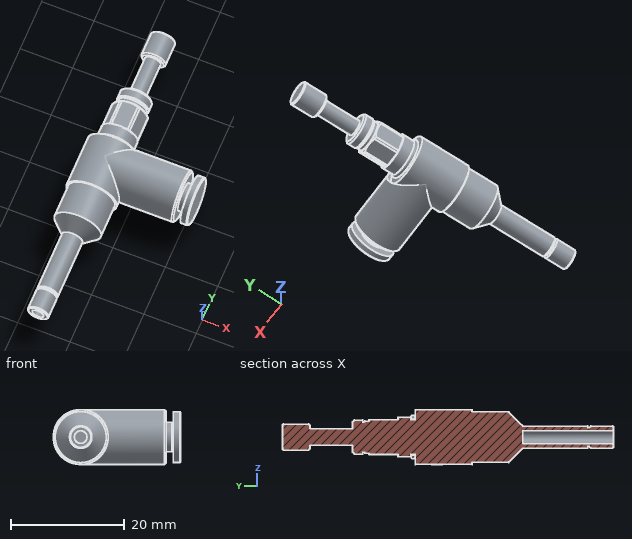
import cadquery as cq
import math

overall_length = 58.5
run_end = 27.5
tail_end = run_end - overall_length

tee_radius = 4.85
tee_top = 4.05
tee_bottom = -6.0
barrel_radius = 4.5
barrel_bottom = -12.45

tail_radius = 2.0
cone_bottom = tail_radius - barrel_radius + barrel_bottom
tail_groove_top = -26.45
tail_groove_width = 0.5
tail_groove_depth = 0.3
tail_end_chamfer = 0.2
tail_bore_radius = 1.1

branch_end = 15.1
branch_chamfer = 0.3
sleeve_radius = 2.65
sleeve_chamfer = 0.25
collar_radius = 4.5
collar_start = 16.3
collar_end = 17.65
collar_chamfer = 0.2

ring_seat_radius = 3.1
shoulder_radius = 3.5
shoulder_bottom = 4.8
hex_bottom = 7.1
hex_top = 12.2
hex_apothem = 3.1
hex_corner_radius = 3.45
hex_chamfer_drop = 0.3
hex_top_radius = 3.05
neck_radius = 2.85
neck_groove_radius = 2.7
cap_bottom = 13.3
neck_groove_width = 0.2
cap_radius = 3.05
cap_top = 15.15
cap_chamfer = 0.35

rod_radius = 1.5
head_radius = 2.35
head_bottom = 22.6
head_bottom_chamfer = 0.3
head_top_chamfer = 0.2

ring_section_radius = (shoulder_bottom - tee_top) / 2
ring_center_radius = 3.5
ring_gap = 0.3


def turned_about_y(points):
    """Solid of revolution from (radius, y) points, closed along the Y axis."""
    outline = [(0, points[0][1]), *points, (0, points[-1][1])]
    return cq.Workplane("XY").polyline(outline).close().revolve(360, (0, 0), (0, 1))


def turned_about_x(points):
    """Solid of revolution from (x, radius) points, closed along the X axis."""
    outline = [(points[0][0], 0), *points, (points[-1][0], 0)]
    return cq.Workplane("XY").polyline(outline).close().revolve(360, (0, 0), (1, 0))


def make_tail_and_tee():
    """Tee run, barrel, cone and grooved tail, with the bore ending blind at the cone."""
    groove_bottom = tail_groove_top - tail_groove_width
    groove_floor = tail_radius - tail_groove_depth
    run = turned_about_y([
        (tail_radius - tail_end_chamfer, tail_end),
        (tail_radius, tail_end + tail_end_chamfer),
        (tail_radius, groove_bottom),
        (groove_floor, groove_bottom + tail_groove_depth),
        (groove_floor, tail_groove_top),
        (tail_radius, tail_groove_top),
        (tail_radius, cone_bottom),
        (barrel_radius, barrel_bottom),
        (barrel_radius, tee_bottom),
        (tee_radius, tee_bottom),
        (tee_radius, tee_top),
    ])
    bore = turned_about_y([(tail_bore_radius, tail_end), (tail_bore_radius, cone_bottom)])
    return run.cut(bore)


def make_branch():
    """Branch with its release collar, mitred where it rises past the top of the tee."""
    branch = turned_about_x([
        (0, tee_radius),
        (branch_end - branch_chamfer, tee_radius),
        (branch_end, tee_radius - branch_chamfer),
        (branch_end, sleeve_radius),
        (collar_start - sleeve_chamfer, sleeve_radius),
        (collar_start, sleeve_radius - sleeve_chamfer),
        (collar_start, collar_radius),
        (collar_end - collar_chamfer, collar_radius),
        (collar_end, collar_radius - collar_chamfer),
    ])
    stud_clearance = (
        cq.Workplane("XZ", origin=(0, tee_top, 0))
        .circle(tee_radius)
        .extrude(tee_top - tee_radius)
    )
    return branch.cut(stud_clearance)


def make_hexagon():
    """Hexagonal grip, flats facing +Z and -Z, with rounded corners and a chamfered top."""
    sharp_corner_diameter = 2 * hex_apothem / math.cos(math.pi / 6)
    prism = (
        cq.Workplane("XZ", origin=(0, hex_bottom, 0))
        .polygon(6, sharp_corner_diameter)
        .extrude(hex_bottom - hex_top)
    )
    corner_limit = turned_about_y([
        (hex_corner_radius, hex_bottom),
        (hex_corner_radius, hex_top - hex_chamfer_drop),
        (hex_top_radius, hex_top),
    ])
    return prism.intersect(corner_limit)


def make_stud():
    """Ring seat, shoulder, hexagon, neck, cap, rod and head."""
    lower = turned_about_y([
        (ring_seat_radius, tee_top),
        (ring_seat_radius, shoulder_bottom),
        (shoulder_radius, shoulder_bottom),
        (shoulder_radius, hex_bottom),
    ])
    upper = turned_about_y([
        (neck_radius, hex_top),
        (neck_radius, cap_bottom - 2 * neck_groove_width),
        (neck_groove_radius, cap_bottom - neck_groove_width),
        (neck_groove_radius, cap_bottom),
        (cap_radius, cap_bottom),
        (cap_radius, cap_top - cap_chamfer),
        (cap_radius - cap_chamfer, cap_top),
        (rod_radius, cap_top),
        (rod_radius, head_bottom),
        (head_radius - head_bottom_chamfer, head_bottom),
        (head_radius, head_bottom + head_bottom_chamfer),
        (head_radius, run_end - head_top_chamfer),
        (head_radius - head_top_chamfer, run_end),
    ])
    return lower.union(make_hexagon()).union(upper)


def make_split_ring():
    """Round-section ring about the Y axis, split at +Z, with the stud's seat cut out of it."""
    ring_center_y = (tee_top + shoulder_bottom) / 2
    torus = (
        cq.Workplane("XY")
        .center(ring_center_radius, ring_center_y)
        .circle(ring_section_radius)
        .revolve(360, (-ring_center_radius, 0), (-ring_center_radius, 1))
    )
    seat = cq.Workplane("XZ", origin=(0, shoulder_bottom, 0)).circle(ring_seat_radius)
    seat = seat.extrude(shoulder_bottom - tee_top)
    gap = cq.Workplane("XY", origin=(0, ring_center_y, tee_radius / 2))
    gap = gap.box(ring_gap, tee_radius, tee_radius)
    return torus.cut(seat).cut(gap)


fitting = make_tail_and_tee().union(make_branch()).union(make_stud())
split_ring = make_split_ring()

result = cq.Compound.makeCompound([fitting.solids().val(), split_ring.solids().val()])